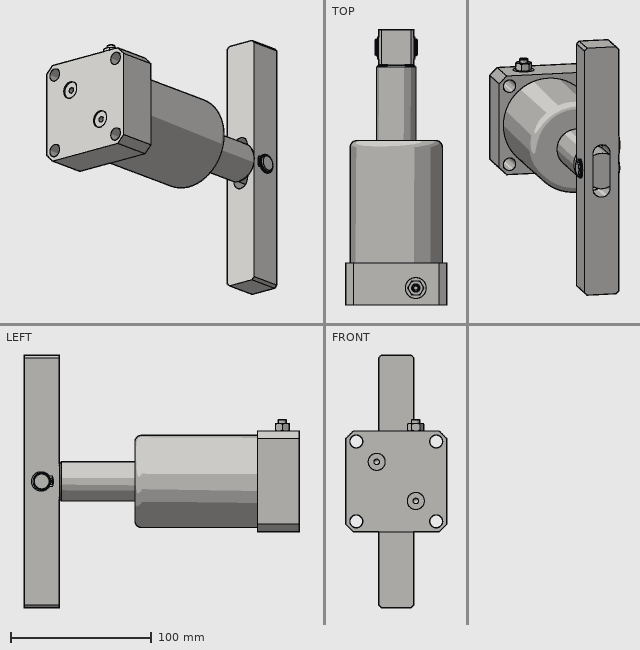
import cadquery as cq
import math


BASE_SIDE = 72.0
BASE_DEPTH = 30.0
BASE_CHAMFER = 5.5
BARREL_RADIUS = 33.0
BARREL_FACE_Y = 117.2
BARREL_FILLET = 4.9
MOUNT_HOLE_DIAMETER = 9.0
MOUNT_HOLE_PITCH = 56.8
PORT_OFFSET = 14.0
PORT_RECESS_RADIUS = 6.0
PORT_RECESS_DEPTH = 1.2
PORT_HOLE_RADIUS = 2.0
PORT_HOLE_DEPTH = 7.8
DRILL_TIP_ANGLE = 118.0

OVERALL_LENGTH = 196.0
BAR_WIDTH = 25.0
BAR_DEPTH = 25.0
BAR_HEIGHT = 180.0
BAR_CHAMFER = 2.0
BAR_FACE_Y = OVERALL_LENGTH - BAR_DEPTH
SLOT_WIDTH = 12.5
SLOT_HEIGHT = 38.0

ROD_RADIUS = 14.1
ROD_CHAMFER = 1.2
ROD_GAP = 0.4
SHOULDER_Y = BAR_FACE_Y - ROD_GAP
TONGUE_RADIUS = ROD_RADIUS - ROD_CHAMFER

PIN_Y = BAR_FACE_Y + BAR_DEPTH / 2
PIN_RADIUS = 6.0
PIN_LENGTH = 30.0
PIN_CHAMFER = 0.8
GROOVE_RADIUS = 5.5
CLIP_THICKNESS = 0.8
CLIP_RADIUS = 6.9
CLIP_SHIFT = 0.4
LUG_REACH = 8.5
LUG_SPAN = 7.5
LUG_GAP = 0.8
LUG_HOLE_DIAMETER = 1.5
LUG_HOLE_REACH = 7.0
LUG_HOLE_SPACING = 3.1

FITTING_X = PORT_OFFSET
FITTING_Y = 12.2
STEM_RADIUS = 7.5
STEM_DEPTH = 5.9
HEX_FLATS = 10.0
HEX_HEIGHT = 5.3
HEX_CORNER_CHAMFER = 0.5
HEAD_RADIUS = 3.0
HEAD_HEIGHT = 3.0
HEAD_CHAMFER = 0.5
SOCKET_FLATS = 3.0
SOCKET_DEPTH = 2.0


def cylinder_along_y(radius, y_start, y_end):
    """Solid cylinder on the Y axis."""
    return cq.Workplane("XZ", origin=(0, y_start, 0)).circle(radius).extrude(y_start - y_end)


def disc_along_x(radius, x_start, x_end):
    """Solid cylinder along X on the pivot axis."""
    return cq.Workplane("YZ", origin=(x_start, PIN_Y, 0)).circle(radius).extrude(x_end - x_start)


def cylinder_along_z(radius, z_start, z_end):
    """Solid cylinder along Z on the fitting axis."""
    plane = cq.Workplane("XY", origin=(FITTING_X, FITTING_Y, z_start))
    return plane.circle(radius).extrude(z_end - z_start)


def hexagon_along_z(flats, z_start, z_end):
    """Solid hexagonal prism on the fitting axis with two corners pointing along X."""
    plane = cq.Workplane("XY", origin=(FITTING_X, FITTING_Y, z_start))
    return plane.polygon(6, flats / math.cos(math.pi / 6)).extrude(z_end - z_start)


def make_port_cutter():
    """Shallow round recess with a drilled hole that ends in a cone."""
    tip_depth = PORT_HOLE_RADIUS / math.tan(math.radians(DRILL_TIP_ANGLE / 2))
    half_profile = [
        (0, 0),
        (PORT_RECESS_RADIUS, 0),
        (PORT_RECESS_RADIUS, PORT_RECESS_DEPTH),
        (PORT_HOLE_RADIUS, PORT_RECESS_DEPTH),
        (PORT_HOLE_RADIUS, PORT_HOLE_DEPTH),
        (0, PORT_HOLE_DEPTH + tip_depth),
    ]
    return cq.Workplane("XY").polyline(half_profile).close().revolve(360, (0, 0), (0, 1))


def make_housing():
    base = cq.Workplane("XZ").rect(BASE_SIDE, BASE_SIDE).extrude(-BASE_DEPTH)
    base = base.edges("|Y").chamfer(BASE_CHAMFER)
    barrel = cylinder_along_y(BARREL_RADIUS, BASE_DEPTH, BARREL_FACE_Y)
    barrel = barrel.faces(">Y").edges().fillet(BARREL_FILLET)
    mount_holes = (
        cq.Workplane("XZ")
        .rect(MOUNT_HOLE_PITCH, MOUNT_HOLE_PITCH, forConstruction=True)
        .vertices()
        .circle(MOUNT_HOLE_DIAMETER / 2)
        .extrude(-BASE_DEPTH)
    )
    housing = base.cut(mount_holes).union(barrel)
    for side in (-1, 1):
        housing = housing.cut(make_port_cutter().translate((side * PORT_OFFSET, 0, -side * PORT_OFFSET)))
    stem_seat = cylinder_along_z(STEM_RADIUS, BASE_SIDE / 2 - STEM_DEPTH, BASE_SIDE / 2)
    return housing.cut(stem_seat)


def make_rod():
    shaft = cylinder_along_y(ROD_RADIUS, BARREL_FACE_Y, SHOULDER_Y).faces(">Y").edges().chamfer(ROD_CHAMFER)
    flats = cq.Workplane("XY").box(SLOT_WIDTH, 2 * OVERALL_LENGTH, 2 * TONGUE_RADIUS)
    tongue = cylinder_along_y(TONGUE_RADIUS, SHOULDER_Y, OVERALL_LENGTH).intersect(flats)
    pin_hole = disc_along_x(PIN_RADIUS, -SLOT_WIDTH, SLOT_WIDTH)
    return shaft.union(tongue).cut(pin_hole)


def make_bar():
    bar = cq.Workplane("XY").box(BAR_WIDTH, BAR_DEPTH, BAR_HEIGHT).edges("|Y").chamfer(BAR_CHAMFER)
    bar = bar.translate((0, PIN_Y, 0))
    slot = (
        cq.Workplane("XZ", origin=(0, BAR_FACE_Y, 0))
        .slot2D(SLOT_HEIGHT, SLOT_WIDTH, 90)
        .extrude(-BAR_DEPTH)
    )
    return bar.cut(slot).cut(disc_along_x(PIN_RADIUS, -BAR_WIDTH, BAR_WIDTH))


def make_pin():
    pin = disc_along_x(PIN_RADIUS, -PIN_LENGTH / 2, PIN_LENGTH / 2).faces("<X or >X").chamfer(PIN_CHAMFER)
    for x_start in CLIP_STARTS:
        x_end = x_start + CLIP_THICKNESS
        groove = disc_along_x(PIN_RADIUS, x_start, x_end).cut(disc_along_x(GROOVE_RADIUS, x_start, x_end))
        pin = pin.cut(groove)
    return pin


def make_clip(x_start):
    """Eccentric open ring whose two drilled lugs point toward the housing."""
    x_end = x_start + CLIP_THICKNESS
    plane = cq.Workplane("YZ", origin=(x_start, PIN_Y, 0))
    ring = plane.center(CLIP_SHIFT, 0).circle(CLIP_RADIUS).extrude(CLIP_THICKNESS)
    lug_block = plane.center(-LUG_REACH / 2, 0).rect(LUG_REACH, LUG_SPAN).extrude(CLIP_THICKNESS)
    lugs = lug_block.intersect(disc_along_x(LUG_REACH, x_start, x_end))
    gap = plane.center(-LUG_REACH / 2, 0).rect(LUG_REACH, LUG_GAP).extrude(CLIP_THICKNESS)
    hole_points = [(-LUG_HOLE_REACH, side * LUG_HOLE_SPACING / 2) for side in (-1, 1)]
    lug_holes = plane.pushPoints(hole_points).circle(LUG_HOLE_DIAMETER / 2).extrude(CLIP_THICKNESS)
    return ring.union(lugs).cut(disc_along_x(GROOVE_RADIUS, x_start, x_end)).cut(gap).cut(lug_holes)


def make_fitting():
    seat_z = BASE_SIDE / 2
    hex_top_z = seat_z + HEX_HEIGHT
    head_top_z = hex_top_z + HEAD_HEIGHT
    corner_radius = HEX_FLATS / math.sqrt(3)
    corner_trim = cylinder_along_z(corner_radius, seat_z, hex_top_z).edges().chamfer(HEX_CORNER_CHAMFER)
    hexagon = hexagon_along_z(HEX_FLATS, seat_z, hex_top_z).intersect(corner_trim)
    stem = cylinder_along_z(STEM_RADIUS, seat_z - STEM_DEPTH, seat_z)
    head = cylinder_along_z(HEAD_RADIUS, hex_top_z, head_top_z).faces(">Z").chamfer(HEAD_CHAMFER)
    socket = hexagon_along_z(SOCKET_FLATS, head_top_z - SOCKET_DEPTH, head_top_z)
    return stem.union(hexagon).union(head).cut(socket)


CLIP_STARTS = (-BAR_WIDTH / 2 - CLIP_THICKNESS, BAR_WIDTH / 2)

housing = make_housing()
rod = make_rod()
bar = make_bar()
pin = make_pin()
clips = [make_clip(x_start) for x_start in CLIP_STARTS]
fitting = make_fitting()

result = cq.Compound.makeCompound(
    [
        housing.val(),
        rod.val(),
        bar.val(),
        pin.val(),
        *[clip.val() for clip in clips],
        fitting.val(),
    ]
)